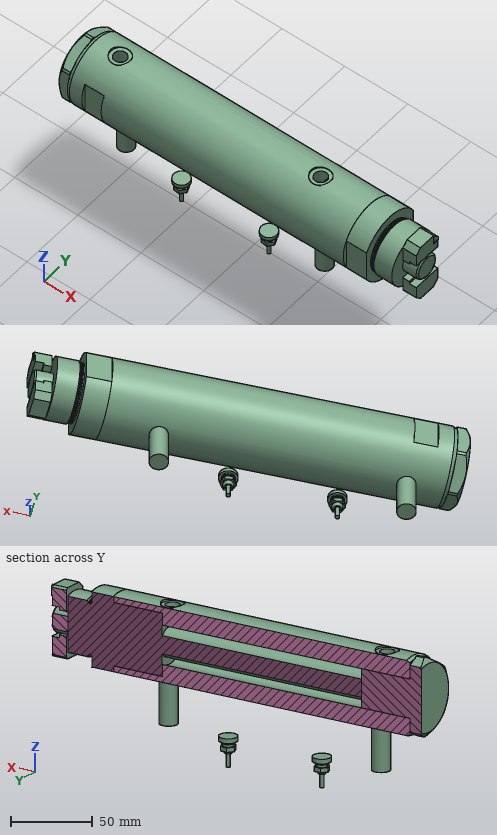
import cadquery as cq
import math


HOUSING_RADIUS = 52.0 / 2
HOUSING_START = 8.5
HOUSING_END = 228.5
HOUSING_CHAMFER_LENGTH = 2.5
HOUSING_CHAMFER_DEPTH = 1.0
BORE_RADIUS = 14.8
FLATS_WIDTH = 45.9
LEFT_FLATS_START = 21.0
LEFT_FLATS_END = 36.2

PORT_POSITIONS = (30.5, 189.7)
PORT_RADIUS = 9.5 / 2
SPOTFACE_RADIUS = 15.0 / 2
SPOTFACE_DEPTH = 1.5

CAP_FACE_RADIUS = 22.5
CAP_CHAMFER_LENGTH = 2.7
INSERT_LENGTH = 36.2
SPIGOT_TIP = HOUSING_START + INSERT_LENGTH

PIPE_POSITIONS = (35.1, 192.8)
PIPE_RADIUS = 6.0
PIPE_BOTTOM = -53.5
PIPE_TOP = -23.0

CORE_RADIUS = 10.0
SHANK_RADIUS = 22.0
SHANK_TIP = HOUSING_END - INSERT_LENGTH
FLANGE_END = 244.7
NECK_RADIUS = 19.2
NECK_END = 247.1
NECK_GROOVE_START = 245.5
NECK_GROOVE_END = 246.3
NECK_GROOVE_RADIUS = 18.5
COLLAR_CHAMFER = 0.8
COLLAR_RADIUS = NECK_RADIUS + COLLAR_CHAMFER
COLLAR_START = NECK_END + COLLAR_CHAMFER
COLLAR_END = 262.2

HUB_RADIUS = 9.3
HUB_END = 274.0
HUB_CHAMFER = 1.0
JAW_START = 263.3
JAW_WIDTH = 21.1
JAW_HEIGHT = 46.7
JAW_EDGE_CHAMFER = 4.0
JAW_SLOT_HEIGHT = 16.0
JAW_RELIEF_START = 268.5
JAW_RELIEF_HEIGHT = 19.8
PAD_END = 274.5
PAD_WIDTH = 4.5
PAD_HEIGHT = 7.0

PLUG_POSITIONS = (79.0, 148.5)
PLUG_HEAD_RADIUS = 6.0
PLUG_HEAD_TOP = -53.3
PLUG_HEAD_BOTTOM = -56.3
PLUG_STEP_RADIUS = 4.5
PLUG_STEP_BOTTOM = -57.7
PLUG_NECK_RADIUS = 3.5
PLUG_HEX_TOP = -59.5
PLUG_HEX_BOTTOM = -62.5
PLUG_HEX_DIAMETER = 10.2
PLUG_HEX_TURN = -8
PLUG_CONE_BOTTOM = -64.5
PLUG_CONE_TIP_RADIUS = 2.2
PLUG_STEM_RADIUS = 1.5
PLUG_BOTTOM = HOUSING_RADIUS - 99.5


def rod(start, end, radius):
    """Cylinder on the main axis between two X positions."""
    return cq.Workplane("YZ", origin=(start, 0, 0)).circle(radius).extrude(end - start)


def block(start, end, width, height):
    """Box centred on the main axis between two X positions."""
    return cq.Workplane("YZ", origin=(start, 0, 0)).rect(width, height).extrude(end - start)


def upright(radius, bottom, top):
    """Vertical cylinder at the origin between two heights."""
    return cq.Workplane("XY", origin=(0, 0, bottom)).circle(radius).extrude(top - bottom)


def revolve_about_x(points):
    """Solid of revolution about the main axis from (X, radius) points."""
    return cq.Workplane("XY").polyline(points).close().revolve(360, (0, 0, 0), (1, 0, 0))


def cut_flats(body, start, end):
    """Mill two parallel flats on the -Y and +Y sides of a round body."""
    stock = 2 * HOUSING_RADIUS
    side_stock = block(start, end, stock, stock).cut(block(start, end, FLATS_WIDTH, stock))
    return body.cut(side_stock)


def make_pipe(x):
    return upright(PIPE_RADIUS, PIPE_BOTTOM, PIPE_TOP).translate((x, 0, 0))


def make_housing():
    tapered_end = HOUSING_START + HOUSING_CHAMFER_LENGTH
    body = revolve_about_x([
        (HOUSING_START, BORE_RADIUS),
        (HOUSING_START, HOUSING_RADIUS - HOUSING_CHAMFER_DEPTH),
        (tapered_end, HOUSING_RADIUS),
        (HOUSING_END, HOUSING_RADIUS),
        (HOUSING_END, SHANK_RADIUS),
        (SHANK_TIP, SHANK_RADIUS),
        (SHANK_TIP, BORE_RADIUS),
    ])
    body = cut_flats(body, LEFT_FLATS_START, LEFT_FLATS_END)
    for x in PORT_POSITIONS:
        port = upright(PORT_RADIUS, 0, HOUSING_RADIUS)
        spotface = upright(SPOTFACE_RADIUS, HOUSING_RADIUS - SPOTFACE_DEPTH, HOUSING_RADIUS)
        body = body.cut(port.union(spotface).translate((x, 0, 0)))
    for x in PIPE_POSITIONS:
        body = body.cut(make_pipe(x))
    return body


def make_end_cap():
    hexagon = (
        cq.Workplane("YZ")
        .polygon(6, FLATS_WIDTH / math.cos(math.pi / 6))
        .extrude(HOUSING_START)
        .rotate((0, 0, 0), (1, 0, 0), 30)
    )
    turned = revolve_about_x([
        (0, 0),
        (0, CAP_FACE_RADIUS),
        (CAP_CHAMFER_LENGTH, HOUSING_RADIUS),
        (HOUSING_START, HOUSING_RADIUS),
        (HOUSING_START, 0),
    ])
    return hexagon.intersect(turned).union(rod(HOUSING_START, SPIGOT_TIP, BORE_RADIUS))


def make_end_fitting():
    turned = revolve_about_x([
        (SPIGOT_TIP, 0),
        (SPIGOT_TIP, CORE_RADIUS),
        (SHANK_TIP, CORE_RADIUS),
        (SHANK_TIP, SHANK_RADIUS),
        (HOUSING_END, SHANK_RADIUS),
        (HOUSING_END, HOUSING_RADIUS),
        (FLANGE_END, HOUSING_RADIUS),
        (FLANGE_END, NECK_RADIUS),
        (NECK_GROOVE_START, NECK_RADIUS),
        (NECK_GROOVE_START, NECK_GROOVE_RADIUS),
        (NECK_GROOVE_END, NECK_GROOVE_RADIUS),
        (NECK_GROOVE_END, NECK_RADIUS),
        (NECK_END, NECK_RADIUS),
        (COLLAR_START, COLLAR_RADIUS),
        (COLLAR_END, COLLAR_RADIUS),
        (COLLAR_END, 0),
    ])
    return cut_flats(turned, HOUSING_END, FLANGE_END)


def make_jaw_head():
    hub = rod(COLLAR_END, HUB_END, HUB_RADIUS).faces(">X").chamfer(HUB_CHAMFER)
    lugs = block(JAW_START, PAD_END, JAW_WIDTH, JAW_HEIGHT).edges("|X").chamfer(JAW_EDGE_CHAMFER)
    pad = cq.Workplane("XY").box(PAD_END - HUB_END, PAD_WIDTH, PAD_HEIGHT, centered=False)
    pad = pad.translate((HUB_END, JAW_WIDTH / 2 - PAD_WIDTH, JAW_HEIGHT / 2 - PAD_HEIGHT))
    lugs = lugs.cut(block(HUB_END, PAD_END, JAW_WIDTH, JAW_HEIGHT).cut(pad))
    lugs = lugs.cut(block(JAW_START, HUB_END, JAW_WIDTH, JAW_SLOT_HEIGHT))
    lugs = lugs.cut(block(JAW_RELIEF_START, HUB_END, JAW_WIDTH, JAW_RELIEF_HEIGHT))
    return lugs.union(hub)


def make_plug(x):
    turned = (
        cq.Workplane("XZ")
        .polyline([
            (0, PLUG_HEAD_TOP),
            (PLUG_HEAD_RADIUS, PLUG_HEAD_TOP),
            (PLUG_HEAD_RADIUS, PLUG_HEAD_BOTTOM),
            (PLUG_STEP_RADIUS, PLUG_HEAD_BOTTOM),
            (PLUG_STEP_RADIUS, PLUG_STEP_BOTTOM),
            (PLUG_NECK_RADIUS, PLUG_STEP_BOTTOM),
            (PLUG_NECK_RADIUS, PLUG_HEX_BOTTOM),
            (PLUG_CONE_TIP_RADIUS, PLUG_CONE_BOTTOM),
            (PLUG_STEM_RADIUS, PLUG_CONE_BOTTOM),
            (PLUG_STEM_RADIUS, PLUG_BOTTOM),
            (0, PLUG_BOTTOM),
        ])
        .close()
        .revolve(360, (0, 0, 0), (0, 1, 0))
    )
    hexagon = (
        cq.Workplane("XY", origin=(0, 0, PLUG_HEX_BOTTOM))
        .polygon(6, PLUG_HEX_DIAMETER)
        .extrude(PLUG_HEX_TOP - PLUG_HEX_BOTTOM)
        .rotate((0, 0, 0), (0, 0, 1), PLUG_HEX_TURN)
    )
    return turned.union(hexagon).translate((x, 0, 0))


housing = make_housing()
end_cap = make_end_cap()
end_fitting = make_end_fitting()
jaw_head = make_jaw_head()
pipes = [make_pipe(x) for x in PIPE_POSITIONS]
plugs = [make_plug(x) for x in PLUG_POSITIONS]

result = cq.Compound.makeCompound([
    housing.val(),
    end_cap.val(),
    end_fitting.val(),
    jaw_head.val(),
    *[pipe.val() for pipe in pipes],
    *[plug.val() for plug in plugs],
])